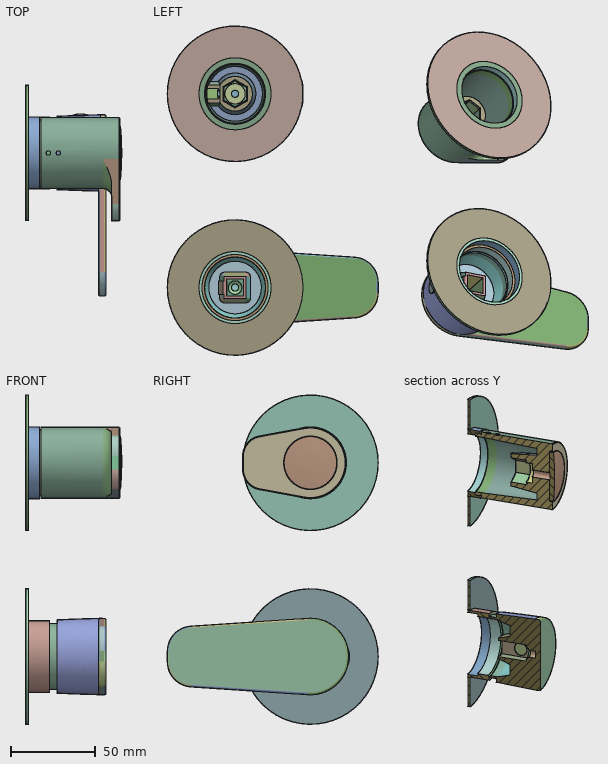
import cadquery as cq
import math

AXIS_SPACING = 114.24

PLATE_DIAMETER = 80.0
PLATE_THICKNESS = 1.7
SLEEVE_DIAMETER = 42.5
SPIGOT_DIAMETER = 39.0

UPPER_SLEEVE_LENGTH = 8.3
UPPER_SLEEVE_BORE = 36.0
UPPER_SPIGOT_START = 5.0

UPPER_DIAMETER = 42.0
UPPER_START = 9.0
UPPER_END = 55.5
UPPER_BORE = 34.8
UPPER_DRAFT_START = 11.0
UPPER_FLOOR = 45.0
UPPER_FLOOR_DIAMETER = 32.3
END_CHAMFER = 0.5

PADDLE_THICKNESS = 4.8
PADDLE_REACH = 40.0
PADDLE_CORNER = 12.0
PADDLE_END_FLAT = 8.0
PADDLE_BLEND = 5.0

HUB_TOP = 28.0
HUB_TOP_DIAMETER = 20.5
HUB_BASE_DIAMETER = 24.5
HEX_FLATS = 13.2
HEX_LEAD_IN = 0.6
HEX_DEPTH = 10.0
SOCKET_BORE = 12.0
SOCKET_DEPTH = 14.0
CENTRE_HOLE = 4.2
BLOCK_TOP = 27.4
BLOCK_WIDTH = 10.6
BLOCK_BASE_WIDTH = 14.6
BLOCK_POCKET_DIAMETER = 8.6
BLOCK_POCKET_WIDTH = 6.4
BLOCK_POCKET_DEPTH = 2.0
BLOCK_POCKET_Y = 13.2
MARK_DIAMETER = 2.6
MARK_DEPTH = 0.5
MARK_POSITIONS = (13.4, 19.3)

CAP_DIAMETER = 31.0
CAP_RECESS_DIAMETER = 31.6
CAP_SEAT = 53.5
CAP_EDGE = 56.0
CAP_CROWN = 56.74

LOWER_SLEEVE_LENGTH = 14.2
LOWER_SLEEVE_LEDGE = 6.5
LOWER_SLEEVE_BORE = 36.0
JOINT_CHAMFER = 0.8

LOWER_START = 18.6
LOWER_START_DIAMETER = 43.4
LOWER_MIDDLE_DIAMETER = 44.4
LEVER_BACK = 43.0
LEVER_FRONT = 47.4
LEVER_ROUND_DIAMETER = 45.2
LEVER_REACH = 84.44
LEVER_CORNER = 15.0
LEVER_END_FLAT = 6.0
LEVER_EDGE_FILLET = 1.1
LOWER_BORE = 35.8
LOWER_DRAFT_START = 19.5
LOWER_FLOOR = 27.5
LOWER_FLOOR_DIAMETER = 31.0

BOSS_BASE = 18.2
BOSS_TOP_SIDE = 13.0
BOSS_TOP = 20.0
BOSS_CORNER = 3.0
PAD_WIDTH = 8.0
PAD_EXTRA = 0.7
SQUARE_SIDE = 10.0
SQUARE_FLOOR = 38.0
COUNTERSINK_DIAMETER = 8.0
COUNTERSINK_DEPTH = 2.0
LOWER_HOLE_DEPTH = 4.0
LOWER_SCREW_X = 32.4
LOWER_SCREW_DIAMETER = 8.0
LOWER_SCREW_TIP = 4.7
SCREW_HEAD_DIAMETER = 9.5
SCREW_HEAD_SEAT = 19.5
SCREW_HEAD_EDGE = 22.2
SCREW_HEAD_CROWN = 23.1


def cylinder(diameter, start, end):
    """Round bar on the X axis between two X positions."""
    return cq.Workplane("YZ", origin=(start, 0, 0)).circle(diameter / 2).extrude(end - start)


def turn(profile):
    """Revolve a closed profile, drawn as X against radius, about the X axis."""
    return profile.revolve(360, (0, 0), (1, 0))


def cone(start, start_diameter, end, end_diameter):
    """Solid cone frustum on the X axis."""
    corners = [(start, 0), (start, start_diameter / 2), (end, end_diameter / 2), (end, 0)]
    return turn(cq.Workplane("XZ").polyline(corners).close())


def arm_outline(round_radius, reach, corner, end_flat, position):
    """Outline around a round head and a tapering arm to -Y with a flat, round-cornered end."""
    corner_y = corner - reach
    corner_z = end_flat / 2
    spread = math.hypot(corner_y, corner_z)
    tilt = math.asin((round_radius - corner) / spread) - math.atan2(corner_z, -corner_y)
    middle = (tilt + math.pi / 2) / 2

    def on_corner(angle):
        return corner_y - corner * math.sin(angle), corner_z + corner * math.cos(angle)

    def below(point):
        return point[0], -point[1]

    head = (-round_radius * math.sin(tilt), round_radius * math.cos(tilt))
    side_end = on_corner(tilt)
    corner_middle = on_corner(middle)
    flat_end = on_corner(math.pi / 2)
    return (
        cq.Workplane("YZ", origin=(position, 0, 0))
        .moveTo(*head)
        .lineTo(*side_end)
        .threePointArc(corner_middle, flat_end)
        .lineTo(*below(flat_end))
        .threePointArc(below(corner_middle), below(side_end))
        .lineTo(*below(head))
        .threePointArc((round_radius, 0), head)
        .close()
    )


def wall_plate():
    hole = cylinder(SLEEVE_DIAMETER, 0, PLATE_THICKNESS)
    return cylinder(PLATE_DIAMETER, 0, PLATE_THICKNESS).cut(hole)


def sleeve(length, mouth_diameter, step, inner_diameter):
    """Tube that fills the plate hole; its bore changes size at one step."""
    body = cylinder(SLEEVE_DIAMETER, 0, length)
    body = body.cut(cylinder(mouth_diameter, 0, step))
    return body.cut(cylinder(inner_diameter, step, length))



def paddle():
    """Paddle with a concave round blend from the handle's side into its back face."""
    back = UPPER_END - PADDLE_THICKNESS
    blend_start = back - PADDLE_BLEND
    radius = UPPER_DIAMETER / 2
    body = arm_outline(radius, PADDLE_REACH, PADDLE_CORNER, PADDLE_END_FLAT, blend_start)
    body = body.extrude(UPPER_END - blend_start).faces(">X").chamfer(END_CHAMFER)
    bend = PADDLE_BLEND * math.sin(math.pi / 4)
    behind = turn(
        cq.Workplane("XZ")
        .moveTo(blend_start, radius)
        .threePointArc((blend_start + bend, radius + PADDLE_BLEND - bend), (back, radius + PADDLE_BLEND))
        .lineTo(back, PADDLE_REACH + PADDLE_CORNER)
        .lineTo(blend_start, PADDLE_REACH + PADDLE_CORNER)
        .close()
    )
    return body.cut(behind)


def upper_hub():
    """Drafted hub with a hexagonal socket and a drafted, pocketed block that joins it to the +Y wall."""
    hub = cone(HUB_TOP, HUB_TOP_DIAMETER, UPPER_FLOOR, HUB_BASE_DIAMETER)
    corners = [
        (BLOCK_TOP, BLOCK_WIDTH / 2),
        (UPPER_FLOOR, BLOCK_BASE_WIDTH / 2),
        (UPPER_FLOOR, -BLOCK_BASE_WIDTH / 2),
        (BLOCK_TOP, -BLOCK_WIDTH / 2),
    ]
    inner_end = math.sqrt(HUB_TOP_DIAMETER ** 2 - BLOCK_WIDTH ** 2) / 2
    outer_end = (UPPER_BORE + UPPER_DIAMETER) / 4
    block = cq.Workplane("XZ", origin=(0, outer_end, 0)).polyline(corners).close()
    block = block.extrude(outer_end - inner_end)
    pocket_plane = cq.Workplane("YZ", origin=(BLOCK_TOP, BLOCK_POCKET_Y, 0))
    pocket = pocket_plane.circle(BLOCK_POCKET_DIAMETER / 2).extrude(BLOCK_POCKET_DEPTH)
    flats = pocket_plane.rect(BLOCK_POCKET_DIAMETER, BLOCK_POCKET_WIDTH).extrude(BLOCK_POCKET_DEPTH)
    hub = hub.union(block.cut(pocket.intersect(flats)))
    lead_in = (
        cq.Workplane("YZ", origin=(HUB_TOP, 0, 0))
        .transformed(rotate=(0, 0, 90))
        .polygon(6, (HEX_FLATS + 2 * HEX_LEAD_IN) / math.cos(math.pi / 6))
        .workplane(offset=HEX_LEAD_IN)
        .polygon(6, HEX_FLATS / math.cos(math.pi / 6))
        .loft()
    )
    hexagon = (
        cq.Workplane("YZ", origin=(HUB_TOP, 0, 0))
        .transformed(rotate=(0, 0, 90))
        .polygon(6, HEX_FLATS / math.cos(math.pi / 6))
        .extrude(HEX_DEPTH)
    )
    bore = cylinder(SOCKET_BORE, HUB_TOP, HUB_TOP + SOCKET_DEPTH)
    return hub.cut(lead_in).cut(hexagon).cut(bore)


def upper_handle():
    body = cylinder(UPPER_DIAMETER, UPPER_START, UPPER_END).faces(">X").chamfer(END_CHAMFER)
    body = body.union(paddle())
    body = body.union(cylinder(SPIGOT_DIAMETER, UPPER_SPIGOT_START, UPPER_START))
    body = body.cut(cylinder(UPPER_BORE, UPPER_SPIGOT_START, UPPER_DRAFT_START))
    body = body.cut(cone(UPPER_DRAFT_START, UPPER_BORE, UPPER_FLOOR, UPPER_FLOOR_DIAMETER))
    body = body.union(upper_hub())
    body = body.cut(cylinder(CENTRE_HOLE, HUB_TOP, CAP_SEAT))
    body = body.cut(cylinder(CAP_RECESS_DIAMETER, CAP_SEAT, UPPER_END))
    for position in MARK_POSITIONS:
        mark = cq.Workplane("XY", origin=(position, 0, UPPER_DIAMETER / 2 - MARK_DEPTH))
        body = body.cut(mark.circle(MARK_DIAMETER / 2).extrude(2 * MARK_DEPTH))
    return body


def end_cap():
    rise = CAP_CROWN - CAP_EDGE
    radius = CAP_DIAMETER / 2
    dome_radius = (radius ** 2 + rise ** 2) / (2 * rise)
    half_radius = radius / 2
    half_x = CAP_CROWN - dome_radius + math.sqrt(dome_radius ** 2 - half_radius ** 2)
    return turn(
        cq.Workplane("XZ")
        .moveTo(CAP_SEAT, 0)
        .lineTo(CAP_SEAT, radius)
        .lineTo(CAP_EDGE, radius)
        .threePointArc((half_x, half_radius), (CAP_CROWN, 0))
        .close()
    )



def lower_barrel():
    """Flared outside of the lower handle, run into the edge of the lever head."""
    return turn(
        cq.Workplane("XZ")
        .moveTo(LOWER_START, 0)
        .lineTo(LOWER_START, LOWER_START_DIAMETER / 2)
        .threePointArc(
            ((LOWER_START + LEVER_BACK) / 2, LOWER_MIDDLE_DIAMETER / 2),
            (LEVER_BACK + LEVER_EDGE_FILLET, LEVER_ROUND_DIAMETER / 2),
        )
        .lineTo(LEVER_BACK + LEVER_EDGE_FILLET, 0)
        .close()
    )


def lever():
    outline = arm_outline(
        LEVER_ROUND_DIAMETER / 2, LEVER_REACH, LEVER_CORNER, LEVER_END_FLAT, LEVER_BACK
    )
    body = outline.extrude(LEVER_FRONT - LEVER_BACK)
    return body.faces("<X or >X").edges().fillet(LEVER_EDGE_FILLET)


def lower_boss():
    """Drafted square boss with a pad on its +Y side, over the grub screw."""
    height = LOWER_FLOOR - BOSS_TOP
    draft = math.degrees(math.atan((BOSS_BASE - BOSS_TOP_SIDE) / 2 / height))
    base = cq.Workplane("ZY", origin=(LOWER_FLOOR, 0, 0)).sketch()
    boss = base.rect(BOSS_BASE, BOSS_BASE).vertices().fillet(BOSS_CORNER).finalize()
    boss = boss.extrude(height, taper=draft)
    base_y = BOSS_BASE / 2 + PAD_EXTRA
    top_y = BOSS_TOP_SIDE / 2 + PAD_EXTRA
    side = [(BOSS_TOP, 0), (BOSS_TOP, top_y), (LOWER_FLOOR, base_y), (LOWER_FLOOR, 0)]
    pad = cq.Workplane("XY").polyline(side).close().extrude(PAD_WIDTH / 2, both=True)
    return boss.union(pad)


def lower_screw():
    """Grub screw along Y with a domed head that stands out of the +Y side."""
    shank = LOWER_SCREW_DIAMETER / 2
    head = SCREW_HEAD_DIAMETER / 2
    rise = SCREW_HEAD_CROWN - SCREW_HEAD_EDGE
    dome_radius = (head ** 2 + rise ** 2) / (2 * rise)
    half_y = SCREW_HEAD_CROWN - dome_radius + math.sqrt(dome_radius ** 2 - (head / 2) ** 2)
    profile = (
        cq.Workplane("XY")
        .moveTo(0, LOWER_SCREW_TIP)
        .lineTo(shank, LOWER_SCREW_TIP)
        .lineTo(shank, SCREW_HEAD_SEAT)
        .lineTo(head, SCREW_HEAD_SEAT)
        .lineTo(head, SCREW_HEAD_EDGE)
        .threePointArc((head / 2, half_y), (0, SCREW_HEAD_CROWN))
        .close()
    )
    return profile.revolve(360, (0, 0), (0, 1)).translate((LOWER_SCREW_X, 0, 0))


def joint_cone(bore, direction):
    """Cone that chamfers a bore at the joint of sleeve and handle, narrowing along the direction given."""
    narrow_end = LOWER_SLEEVE_LENGTH + direction * JOINT_CHAMFER
    return cone(LOWER_SLEEVE_LENGTH, bore + 2 * JOINT_CHAMFER, narrow_end, bore)


def lower_sleeve():
    body = sleeve(LOWER_SLEEVE_LENGTH, SPIGOT_DIAMETER, LOWER_SLEEVE_LEDGE, LOWER_SLEEVE_BORE)
    return body.cut(joint_cone(LOWER_SLEEVE_BORE, -1))


def lower_handle(screw):
    body = lower_barrel().union(lever())
    body = body.union(cylinder(SPIGOT_DIAMETER, LOWER_SLEEVE_LENGTH, LOWER_START))
    body = body.cut(cylinder(LOWER_BORE, LOWER_SLEEVE_LENGTH, LOWER_DRAFT_START))
    body = body.cut(joint_cone(LOWER_BORE, 1))
    body = body.cut(cone(LOWER_DRAFT_START, LOWER_BORE, LOWER_FLOOR, LOWER_FLOOR_DIAMETER))
    body = body.union(lower_boss())
    socket = cq.Workplane("YZ", origin=(BOSS_TOP, 0, 0)).rect(SQUARE_SIDE, SQUARE_SIDE)
    body = body.cut(socket.extrude(SQUARE_FLOOR - BOSS_TOP))
    sink_end = SQUARE_FLOOR + COUNTERSINK_DEPTH
    body = body.cut(cone(SQUARE_FLOOR, COUNTERSINK_DIAMETER, sink_end, CENTRE_HOLE))
    body = body.cut(cylinder(CENTRE_HOLE, sink_end, sink_end + LOWER_HOLE_DEPTH))
    return body.cut(screw)



upper_bodies = [
    wall_plate(),
    sleeve(UPPER_SLEEVE_LENGTH, UPPER_SLEEVE_BORE, UPPER_SPIGOT_START, SPIGOT_DIAMETER),
    upper_handle(),
    end_cap(),
]

lower_grub_screw = lower_screw()
lower_bodies = [
    wall_plate(),
    lower_sleeve(),
    lower_handle(lower_grub_screw),
    lower_grub_screw,
]

lifted_bodies = [body.translate((0, 0, AXIS_SPACING)) for body in upper_bodies]
result = cq.Compound.makeCompound([body.val() for body in lower_bodies + lifted_bodies])